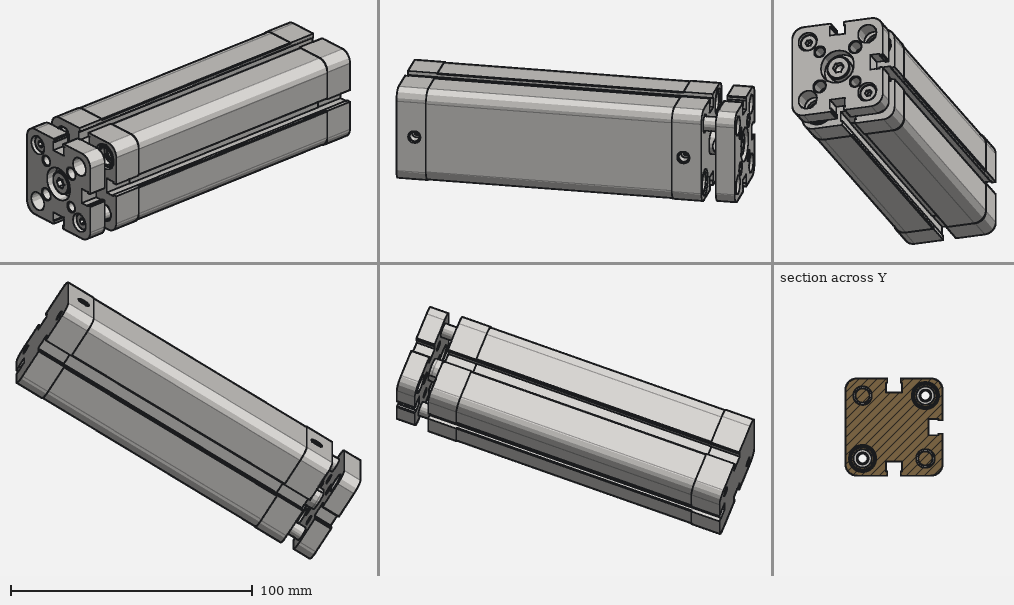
import cadquery as cq
import math


CAP_LENGTH = 12.5
TUBE_LENGTH = 104.0
GAP = 6.0
PLATE_THICKNESS = 8.0

FRONT_CAP_FRONT = 0.0
TUBE_FRONT = FRONT_CAP_FRONT + CAP_LENGTH
REAR_CAP_FRONT = TUBE_FRONT + TUBE_LENGTH
REAR_END = REAR_CAP_FRONT + CAP_LENGTH
PLATE_BACK = FRONT_CAP_FRONT - GAP
PLATE_FRONT = PLATE_BACK - PLATE_THICKNESS

CAP_WIDTH = 40.3
TUBE_WIDTH = 40.0
PLATE_WIDTH = 39.6
CAP_CORNER_RADIUS = 4.8
PROFILE_CORNER_RADIUS = 5.0

PROFILE_SLOT_FLOOR = 14.4
CAP_SLOT_FLOOR = 14.2
SLOT_LIP_BOTTOM = 18.3
SLOT_MOUTH_WIDTH = 5.5
SLOT_INNER_WIDTH = 6.6
SLOT_CHAMFER = 0.35
SLOT_ANGLES = (0, 90, 180)

CORNER_OFFSET = 13.0
GUIDE_POINTS = ((-CORNER_OFFSET, CORNER_OFFSET), (CORNER_OFFSET, -CORNER_OFFSET))
SCREW_POINTS = ((CORNER_OFFSET, CORNER_OFFSET), (-CORNER_OFFSET, -CORNER_OFFSET))

MOUNT_PITCH_DIAMETER = 22.0
MOUNT_OFFSET = MOUNT_PITCH_DIAMETER / 2 / math.sqrt(2)
THREAD_POINTS = ((-MOUNT_OFFSET, MOUNT_OFFSET), (MOUNT_OFFSET, -MOUNT_OFFSET))
DOWEL_POINTS = ((MOUNT_OFFSET, MOUNT_OFFSET), (-MOUNT_OFFSET, -MOUNT_OFFSET))
THREAD_DIAMETER = 4.13
THREAD_MOUTH = 4.92
DOWEL_DIAMETER = 5.0
DOWEL_MOUTH = 5.6

PLATE_CORNER_HOLE = 8.0
TIE_BORE_DIAMETER = 4.0
TIE_BORE_MOUTH = 5.0
TIE_HEAD_BORE = 7.5
TIE_HEAD_BORE_DEPTH = 3.0
TIE_HEAD_BORE_FLOOR = FRONT_CAP_FRONT + TIE_HEAD_BORE_DEPTH
TIE_HEAD_DIAMETER = 10.0
TIE_HEAD_RECESS = 0.5
TIE_HEAD_CHAMFER = 0.5
TIE_RECESS_DIAMETER = 11.1
TIE_RECESS_DEPTH = 2.0
TIE_RECESS_FLOOR = FRONT_CAP_FRONT + TIE_RECESS_DEPTH

GUIDE_DIAMETER = 6.0
GUIDE_RECESS_DIAMETER = 7.6
GUIDE_RECESS_DEPTH = 1.0
GUIDE_RECESS_FLOOR = FRONT_CAP_FRONT + GUIDE_RECESS_DEPTH
ROD_DIAMETER = 10.0
ROD_CONE_LENGTH = 1.2
ROD_CONE_STEP = 0.25
FLAT_WIDTH = 8.0
FLAT_LENGTH = 3.4

ROD_SEAT_DIAMETER = 14.4
ROD_SEAT_DEPTH = 5.0
ROD_HEAD_DIAMETER = 10.0
ROD_HEAD_RECESS = 1.0
ROD_SOCKET_WIDTH = 4.0
GUIDE_SEAT_DEPTH = 4.5
GUIDE_HEAD_DIAMETER = 7.5
GUIDE_HEAD_RECESS = 1.4
GUIDE_SOCKET_WIDTH = 2.5
HEAD_CHAMFER = 0.4
SOCKET_DEPTH = 2.5
DRILL_TIP_RATIO = 0.25
HALF_HEX_ANGLE = 30

PORT_INSET = 7.6
PORT_DIAMETER = 4.13
PORT_MOUTH = 5.3
PORT_DEPTH = 5.0
PORT_BORE = 2.0
PORT_BORE_DEPTH = 7.0


def block(width, radius, y_front, y_back):
    """Square bar along Y with rounded long edges."""
    bar = cq.Workplane("XZ", origin=(0, y_front, 0)).rect(width, width).extrude(y_front - y_back)
    return bar.edges("|Y").fillet(radius)


def cylinder(point, diameter, y_front, y_back, end_diameter=None):
    """Round bar or cone along Y at an (X, Z) point, from y_front to y_back."""
    radius = diameter / 2
    end_radius = radius if end_diameter is None else end_diameter / 2
    length = y_back - y_front
    origin = cq.Vector(point[0], y_front, point[1])
    axis = cq.Vector(0, 1, 0)
    if math.isclose(radius, end_radius):
        return cq.Workplane(cq.Solid.makeCylinder(radius, length, origin, axis))
    return cq.Workplane(cq.Solid.makeCone(radius, end_radius, length, origin, axis))


def cut_slots(bar, width, y_front, y_back, floor, chamfer):
    """Undercut slots; the chamfer breaks the edges of the slot mouth."""
    top = width / 2
    mouth = SLOT_MOUTH_WIDTH / 2
    inner = SLOT_INNER_WIDTH / 2
    half_outline = [(inner, floor), (inner, SLOT_LIP_BOTTOM), (mouth, SLOT_LIP_BOTTOM)]
    if chamfer > 0:
        half_outline += [(mouth, top - chamfer), (mouth + chamfer, top)]
    else:
        half_outline += [(mouth, top)]
    outline = half_outline + [(-x, z) for x, z in reversed(half_outline)]
    slot = cq.Workplane("XZ", origin=(0, y_front, 0)).polyline(outline).close().extrude(y_front - y_back)
    for angle in SLOT_ANGLES:
        bar = bar.cut(slot.rotate((0, 0, 0), (0, 1, 0), angle))
    return bar


def make_cap(y_front, y_back):
    cap = block(CAP_WIDTH, CAP_CORNER_RADIUS, y_front, y_back)
    return cut_slots(cap, CAP_WIDTH, y_front, y_back, CAP_SLOT_FLOOR, 0)


def make_tube():
    tube = block(TUBE_WIDTH, PROFILE_CORNER_RADIUS, TUBE_FRONT, REAR_CAP_FRONT)
    return cut_slots(tube, TUBE_WIDTH, TUBE_FRONT, REAR_CAP_FRONT, PROFILE_SLOT_FLOOR, SLOT_CHAMFER)


def chamfered_hole(point, diameter, mouth):
    """Through hole of the plate, chamfered at the front."""
    depth = (mouth - diameter) / 2
    hole = cylinder(point, diameter, PLATE_FRONT, PLATE_BACK)
    return hole.union(cylinder(point, mouth, PLATE_FRONT, PLATE_FRONT + depth, diameter))


def add_socket_screw(plate, point, seat_diameter, seat_depth, head_diameter, recess, socket_width):
    """Counterbore with a screw head whose hexagon socket ends in a drill cone."""
    face = PLATE_FRONT + recess
    seat_floor = PLATE_FRONT + seat_depth
    head = cylinder(point, head_diameter, face, seat_floor)
    head = head.faces("<Y").edges().chamfer(HEAD_CHAMFER)
    socket = (
        cq.Workplane("XZ", origin=(point[0], face, point[1]))
        .polygon(6, socket_width, circumscribed=True)
        .extrude(-SOCKET_DEPTH)
        .rotate((point[0], 0, point[1]), (point[0], 1, point[1]), HALF_HEX_ANGLE)
    )
    cone_start = face + SOCKET_DEPTH
    cone = cylinder(point, socket_width, cone_start, cone_start + DRILL_TIP_RATIO * socket_width, 0)
    plate = plate.cut(cylinder(point, seat_diameter, PLATE_FRONT, seat_floor))
    return plate.union(head).cut(socket).cut(cone)


def make_plate():
    plate = block(PLATE_WIDTH, PROFILE_CORNER_RADIUS, PLATE_FRONT, PLATE_BACK)
    plate = cut_slots(plate, PLATE_WIDTH, PLATE_FRONT, PLATE_BACK, PROFILE_SLOT_FLOOR, SLOT_CHAMFER)
    for point in THREAD_POINTS:
        plate = plate.cut(chamfered_hole(point, THREAD_DIAMETER, THREAD_MOUTH))
    for point in DOWEL_POINTS:
        plate = plate.cut(chamfered_hole(point, DOWEL_DIAMETER, DOWEL_MOUTH))
    for point in SCREW_POINTS:
        plate = plate.cut(cylinder(point, PLATE_CORNER_HOLE, PLATE_FRONT, PLATE_BACK))
    for point in GUIDE_POINTS:
        plate = add_socket_screw(
            plate,
            point,
            PLATE_CORNER_HOLE,
            GUIDE_SEAT_DEPTH,
            GUIDE_HEAD_DIAMETER,
            GUIDE_HEAD_RECESS,
            GUIDE_SOCKET_WIDTH,
        )
    return add_socket_screw(
        plate,
        (0, 0),
        ROD_SEAT_DIAMETER,
        ROD_SEAT_DEPTH,
        ROD_HEAD_DIAMETER,
        ROD_HEAD_RECESS,
        ROD_SOCKET_WIDTH,
    )


def make_piston_rod():
    """Exposed rod end with two wrench flats that run out at 45 degrees."""
    center = (0, 0)
    cone_back = PLATE_BACK + ROD_CONE_LENGTH
    rod = cylinder(center, ROD_DIAMETER, cone_back, FRONT_CAP_FRONT)
    rod = rod.union(cylinder(center, ROD_DIAMETER - 2 * ROD_CONE_STEP, PLATE_BACK, cone_back, ROD_DIAMETER))
    half_flat = FLAT_WIDTH / 2
    radius = ROD_DIAMETER / 2
    flat_back = PLATE_BACK + FLAT_LENGTH
    run_out = flat_back + radius - half_flat
    side = (
        cq.Workplane("XY", origin=(0, 0, -radius))
        .polyline([(half_flat, PLATE_BACK), (half_flat, flat_back), (radius, run_out), (radius, PLATE_BACK)])
        .close()
        .extrude(ROD_DIAMETER)
    )
    return rod.cut(side).cut(side.mirror("YZ"))


def cut_cap_front(body):
    """Guide rod recesses and hollow tie screws in the front cap, bored through the whole body."""
    for point in GUIDE_POINTS:
        body = body.cut(cylinder(point, GUIDE_RECESS_DIAMETER, FRONT_CAP_FRONT, GUIDE_RECESS_FLOOR))
    mouth_end = TIE_HEAD_BORE_FLOOR + (TIE_BORE_MOUTH - TIE_BORE_DIAMETER) / 2
    for point in SCREW_POINTS:
        body = body.cut(cylinder(point, TIE_RECESS_DIAMETER, FRONT_CAP_FRONT, TIE_RECESS_FLOOR))
        head = cylinder(point, TIE_HEAD_DIAMETER, FRONT_CAP_FRONT + TIE_HEAD_RECESS, TIE_RECESS_FLOOR)
        body = body.union(head.faces("<Y").edges().chamfer(TIE_HEAD_CHAMFER))
        body = body.cut(cylinder(point, TIE_HEAD_BORE, FRONT_CAP_FRONT, TIE_HEAD_BORE_FLOOR))
        body = body.cut(cylinder(point, TIE_BORE_MOUTH, TIE_HEAD_BORE_FLOOR, mouth_end, TIE_BORE_DIAMETER))
        body = body.cut(cylinder(point, TIE_BORE_DIAMETER, FRONT_CAP_FRONT, REAR_END))
    return body


def port(y):
    """Threaded port on the -X side with a chamfered mouth and a small bore."""
    face = -CAP_WIDTH / 2
    axis = cq.Vector(1, 0, 0)
    start = cq.Vector(face, y, 0)
    chamfer = (PORT_MOUTH - PORT_DIAMETER) / 2
    thread = cq.Solid.makeCylinder(PORT_DIAMETER / 2, PORT_DEPTH, start, axis)
    mouth = cq.Solid.makeCone(PORT_MOUTH / 2, PORT_DIAMETER / 2, chamfer, start, axis)
    bore = cq.Solid.makeCylinder(PORT_BORE / 2, PORT_BORE_DEPTH, start, axis)
    return cq.Workplane(thread).union(cq.Workplane(mouth)).union(cq.Workplane(bore))


body = make_tube()
body = body.union(make_cap(FRONT_CAP_FRONT, TUBE_FRONT))
body = body.union(make_cap(REAR_CAP_FRONT, REAR_END))
body = cut_cap_front(body)
for port_y in (FRONT_CAP_FRONT + PORT_INSET, REAR_END - PORT_INSET):
    body = body.cut(port(port_y))

rods = make_piston_rod()
for guide_point in GUIDE_POINTS:
    rods = rods.union(cylinder(guide_point, GUIDE_DIAMETER, PLATE_BACK, GUIDE_RECESS_FLOOR))

result = body.union(rods).union(make_plate())